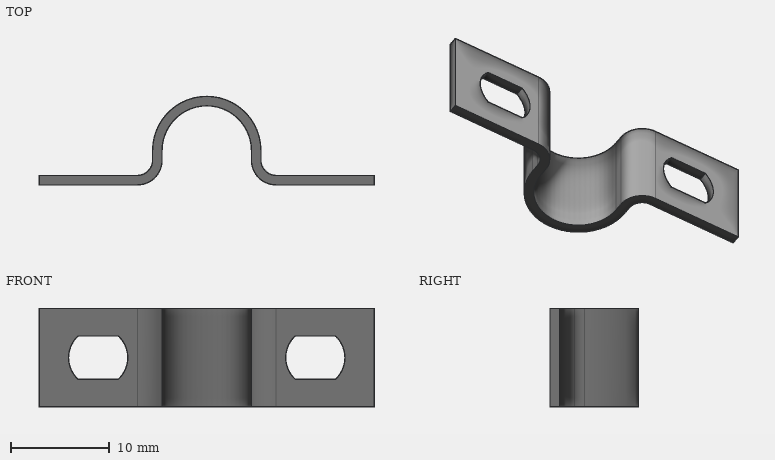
import cadquery as cq

length = 34.0
width = 10.0
thickness = 1.0
arch_outer_radius = 5.5
leg_height = 1.0
bend_outer_radius = 2.5
hole_diameter = 6.0
hole_height = 4.4
hole_offset = 11.0

arch_inner_radius = arch_outer_radius - thickness
bend_inner_radius = bend_outer_radius - thickness
half_length = length / 2
bend_center_x = arch_inner_radius + bend_outer_radius
bend_center_y = bend_outer_radius
arch_center_y = bend_center_y + leg_height
diagonal = 0.5 ** 0.5


def bend_middle(side, radius):
    """Middle point of a foot bend on the left (-1) or right (+1) side."""
    return side * (bend_center_x - radius * diagonal), bend_center_y - radius * diagonal


def make_strip():
    """Bent strip with its foot on y = 0, centred on z = 0."""
    return (
        cq.Workplane("XY")
        .moveTo(-half_length, 0)
        .lineTo(-bend_center_x, 0)
        .threePointArc(bend_middle(-1, bend_outer_radius), (-arch_inner_radius, bend_center_y))
        .lineTo(-arch_inner_radius, arch_center_y)
        .threePointArc((0, arch_center_y + arch_inner_radius), (arch_inner_radius, arch_center_y))
        .lineTo(arch_inner_radius, bend_center_y)
        .threePointArc(bend_middle(1, bend_outer_radius), (bend_center_x, 0))
        .lineTo(half_length, 0)
        .lineTo(half_length, thickness)
        .lineTo(bend_center_x, thickness)
        .threePointArc(bend_middle(1, bend_inner_radius), (arch_outer_radius, bend_center_y))
        .lineTo(arch_outer_radius, arch_center_y)
        .threePointArc((0, arch_center_y + arch_outer_radius), (-arch_outer_radius, arch_center_y))
        .lineTo(-arch_outer_radius, bend_center_y)
        .threePointArc(bend_middle(-1, bend_inner_radius), (-bend_center_x, thickness))
        .lineTo(-half_length, thickness)
        .close()
        .extrude(width / 2, both=True)
    )


def make_hole_cutters():
    """Round cutters with a flat above and below, one for each flange."""
    places = [(-hole_offset, 0), (hole_offset, 0)]
    depth = 2 * thickness
    rounds = cq.Workplane("XZ").pushPoints(places).circle(hole_diameter / 2).extrude(depth, both=True)
    flats = cq.Workplane("XY").box(length, 2 * depth, hole_height)
    return rounds.intersect(flats)


result = make_strip().cut(make_hole_cutters())